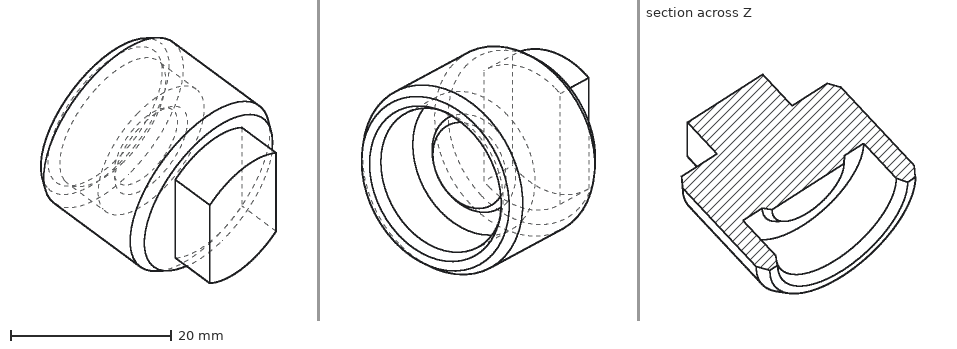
import cadquery as cq

body_diameter = 25.0
body_length = 18.0
total_length = 24.0
edge_length = 1.5
edge_height = 1.0

tail_diameter = 19.2
tail_across_flats = 11.9

bore_diameter = 19.0
mouth_diameter = 20.5
mouth_depth = 1.35
bore_depth = 8.0

boss_base_diameter = 13.0
boss_top_diameter = 11.35
boss_height = 0.92


def revolve_about_x(points):
    """Turn a closed (x, radius) outline into a solid about the X axis."""
    return cq.Workplane("XY").polyline(points).close().revolve(360, (0, 0, 0), (1, 0, 0))


def make_body():
    radius = body_diameter / 2
    return revolve_about_x([
        (0, 0),
        (0, radius - edge_height),
        (edge_length, radius),
        (body_length - edge_length, radius),
        (body_length, radius - edge_height),
        (body_length, 0),
    ])


def make_cavity():
    """Bore with a flared mouth, leaving a tapered boss on its floor."""
    boss_top = bore_depth - boss_height
    return revolve_about_x([
        (0, 0),
        (0, mouth_diameter / 2),
        (mouth_depth, bore_diameter / 2),
        (bore_depth, bore_diameter / 2),
        (bore_depth, boss_base_diameter / 2),
        (boss_top, boss_top_diameter / 2),
        (boss_top, 0),
    ])


def make_tail():
    """Round end cut to two flats facing -Y and +Y."""
    tail_length = total_length - body_length
    cylinder = cq.Workplane("YZ").workplane(offset=body_length).circle(tail_diameter / 2).extrude(tail_length)
    flats = (
        cq.Workplane("YZ").workplane(offset=body_length)
        .rect(tail_across_flats, tail_diameter).extrude(tail_length)
    )
    return cylinder.intersect(flats)


result = make_body().union(make_tail()).cut(make_cavity())